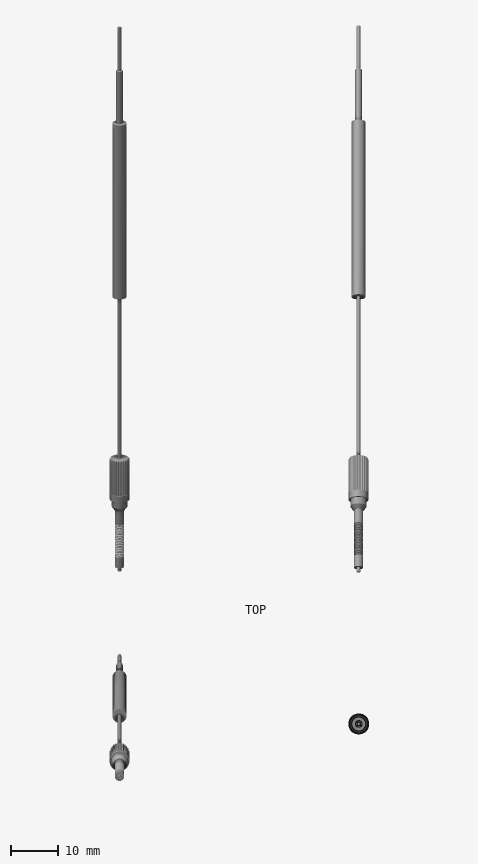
import cadquery as cq
import math

TIP_Z = 0.0
SHAFT_BOTTOM_Z = 1.0
THREAD_BOTTOM_Z = 3.5
THREAD_TOP_Z = 11.0
COLLAR_BOTTOM_Z = 14.1
CONE_TOP_Z = 15.0
COLLAR_TOP_Z = 16.5
GRIP_BOTTOM_Z = 18.0
KNOB_TOP_Z = 26.0
SLEEVE_BOTTOM_Z = 63.0
SLEEVE_TOP_Z = 103.0
TUBE_TOP_Z = 115.0
WIRE_TOP_Z = 125.0

WIRE_RADIUS = 0.38
TUBE_RADIUS = 0.7
SLEEVE_RADIUS = 1.5
SHAFT_RADIUS = 1.0
CONE_BOTTOM_RADIUS = 1.1
COLLAR_RADIUS = 1.75
KNOB_RADIUS = 2.1

THREAD_TURNS = 20
THREAD_PITCH = (THREAD_TOP_Z - THREAD_BOTTOM_Z) / THREAD_TURNS
THREAD_DEPTH = 0.2

TOOTH_COUNT = 24
TOOTH_DEPTH = 0.2
GRIP_CHAMFER = 0.2


def turned_body(outline, bore_radius=0.0):
    """A body of revolution about Z: outline lists (radius, z) upwards, closed along the bore."""
    bottom_z = outline[0][1]
    top_z = outline[-1][1]
    profile = [(bore_radius, bottom_z), *outline, (bore_radius, top_z)]
    return (
        cq.Workplane("XZ")
        .polyline(profile)
        .close()
        .revolve(360, (0, 0, 0), (0, 1, 0))
    )


def bored_cylinder(radius, bottom_z, top_z, bore_radius=WIRE_RADIUS):
    """A plain cylinder with a bore that fits the wire unless another bore is given."""
    return turned_body([(radius, bottom_z), (radius, top_z)], bore_radius)


def make_wire():
    """The thin wire that runs through every other body."""
    return turned_body([(WIRE_RADIUS, TIP_Z), (WIRE_RADIUS, WIRE_TOP_Z)])


def make_shaft():
    """A round shaft, flush with the top of the knob, with V-shaped thread grooves near its tip."""
    outline = [(SHAFT_RADIUS, SHAFT_BOTTOM_Z), (SHAFT_RADIUS, THREAD_BOTTOM_Z)]
    for turn in range(THREAD_TURNS):
        turn_bottom_z = THREAD_BOTTOM_Z + turn * THREAD_PITCH
        outline.append((SHAFT_RADIUS - THREAD_DEPTH, turn_bottom_z + THREAD_PITCH / 2))
        outline.append((SHAFT_RADIUS, turn_bottom_z + THREAD_PITCH))
    outline.append((SHAFT_RADIUS, KNOB_TOP_Z))
    return turned_body(outline, WIRE_RADIUS)


def make_collar():
    """A ring under the knob with a conical lower end."""
    outline = [
        (CONE_BOTTOM_RADIUS, COLLAR_BOTTOM_Z),
        (COLLAR_RADIUS, CONE_TOP_Z),
        (COLLAR_RADIUS, COLLAR_TOP_Z),
    ]
    return turned_body(outline, SHAFT_RADIUS)


def polar_point(radius, angle):
    return (radius * math.cos(angle), radius * math.sin(angle))


def make_knob():
    """A plain rim with a grip of V-shaped teeth above it, chamfered at the top."""
    blank = turned_body(
        [
            (KNOB_RADIUS, COLLAR_TOP_Z),
            (KNOB_RADIUS, KNOB_TOP_Z - GRIP_CHAMFER),
            (KNOB_RADIUS - GRIP_CHAMFER, KNOB_TOP_Z),
        ],
        SHAFT_RADIUS,
    )
    tooth_angle = 2 * math.pi / TOOTH_COUNT
    teeth_outline = []
    for tooth in range(TOOTH_COUNT):
        root_angle = tooth * tooth_angle
        teeth_outline.append(polar_point(KNOB_RADIUS - TOOTH_DEPTH, root_angle))
        teeth_outline.append(polar_point(KNOB_RADIUS, root_angle + tooth_angle / 2))
    toothed_bar = (
        cq.Workplane("XY", origin=(0, 0, GRIP_BOTTOM_Z))
        .polyline(teeth_outline)
        .close()
        .extrude(KNOB_TOP_Z - GRIP_BOTTOM_Z)
    )
    rim = bored_cylinder(KNOB_RADIUS, COLLAR_TOP_Z, GRIP_BOTTOM_Z, SHAFT_RADIUS)
    return blank.intersect(toothed_bar).union(rim)


wire = make_wire()
tube = bored_cylinder(TUBE_RADIUS, SLEEVE_TOP_Z, TUBE_TOP_Z)
sleeve = bored_cylinder(SLEEVE_RADIUS, SLEEVE_BOTTOM_Z, SLEEVE_TOP_Z)
knob = make_knob()
collar = make_collar()
shaft = make_shaft()

result = cq.Compound.makeCompound(
    [wire.val(), tube.val(), sleeve.val(), knob.val(), collar.val(), shaft.val()]
)